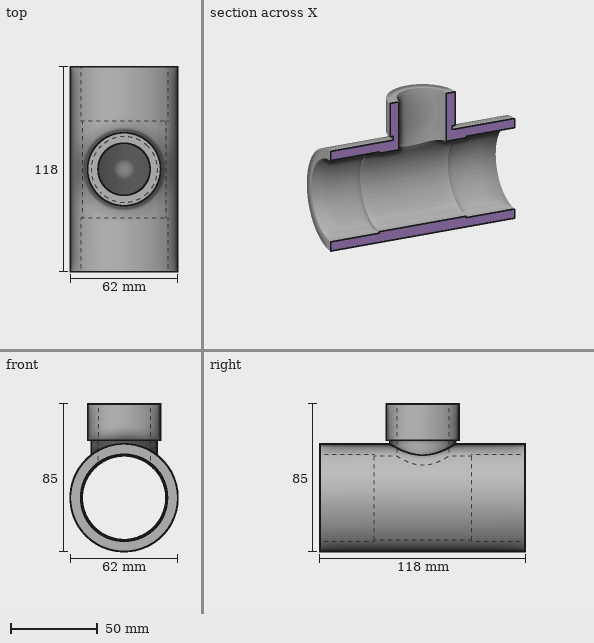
import cadquery as cq


run_diameter = 62.0
run_length = 118.0
run_bore_diameter = 48.2
socket_diameter = 50.0
socket_depth = 31.0

branch_top = 54.0
collar_diameter = 42.0
collar_height = 21.0
neck_diameter = 38.0
branch_bore_diameter = 30.0


def cylinder_along_y(diameter, y_start, length):
    plane = cq.Workplane("XZ", origin=(0, y_start, 0))
    return plane.circle(diameter / 2).extrude(-length)


def cylinder_along_z(diameter, z_start, z_end):
    plane = cq.Workplane("XY", origin=(0, 0, z_start))
    return plane.circle(diameter / 2).extrude(z_end - z_start)


def make_body():
    """Solid run with the stepped branch standing on it."""
    collar_bottom = branch_top - collar_height
    run = cylinder_along_y(run_diameter, -run_length / 2, run_length)
    neck = cylinder_along_z(neck_diameter, 0, collar_bottom)
    collar = cylinder_along_z(collar_diameter, collar_bottom, branch_top)
    return run.union(neck).union(collar)


def cut_run_bore(body):
    """Through bore with a wider pipe socket at each end."""
    body = body.cut(cylinder_along_y(run_bore_diameter, -run_length / 2, run_length))
    for socket_start in (-run_length / 2, run_length / 2 - socket_depth):
        body = body.cut(cylinder_along_y(socket_diameter, socket_start, socket_depth))
    return body


def cut_branch_bore(body):
    """Straight bore from the branch mouth down into the run."""
    return body.cut(cylinder_along_z(branch_bore_diameter, 0, branch_top))


result = cut_branch_bore(cut_run_bore(make_body()))